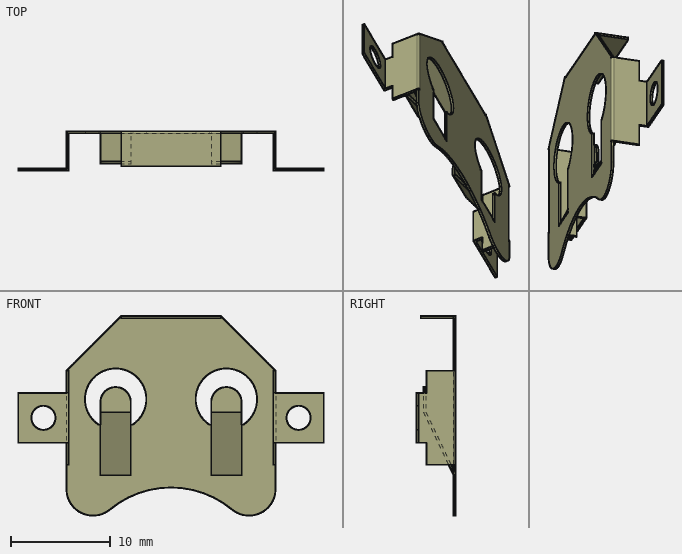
import cadquery as cq
import math

sheet = 0.23
overall_width = 30.73
overall_depth = 3.95
plate_height = 20.07
half_plate = 10.5

shoulder = 5.5
shoulder_z = plate_height - shoulder
lip_half = half_plate - shoulder
lobe_radius = 2.67
lobe_x = half_plate - lobe_radius
arch_top_z = 2.83

lip_depth = 3.53
wall_depth = 2.95
wall_height = 9.45
ear_size = 5.0
ear_hole_diameter = 2.4
ear_z = shoulder_z - wall_height / 2
ear_hole_x = 12.8

tongue_x = 5.55
tongue_width = 3.07
tongue_root_z = 4.1
tongue_bend_z = 10.42
tongue_tip_z = 12.95
tongue_depth = 3.25
opening_radius = 3.07
opening_z = 11.7
opening_floor_z = 9.15


def block(x_range, y_range, z_range):
    """Box spanning the given ranges."""
    spans = [high - low for low, high in (x_range, y_range, z_range)]
    corner = (x_range[0], y_range[0], z_range[0])
    return cq.Workplane("XY").box(*spans, centered=False).translate(corner)


def make_plate():
    rise = lobe_radius - arch_top_z
    arch_radius = (lobe_x**2 + rise**2 - lobe_radius**2) / (2 * (lobe_radius - rise))
    arch_center_z = arch_top_z - arch_radius
    share = arch_radius / (arch_radius + lobe_radius)
    join_x = lobe_x * share
    join_z = arch_center_z + (lobe_radius - arch_center_z) * share
    return (
        cq.Workplane("XZ")
        .moveTo(-lip_half, plate_height)
        .lineTo(lip_half, plate_height)
        .lineTo(half_plate, shoulder_z)
        .lineTo(half_plate, lobe_radius)
        .threePointArc((lobe_x, 0), (join_x, join_z))
        .threePointArc((0, arch_top_z), (-join_x, join_z))
        .threePointArc((-lobe_x, 0), (-half_plate, lobe_radius))
        .lineTo(-half_plate, shoulder_z)
        .close()
        .extrude(sheet)
    )


def bend_waste(length):
    """Material outside a rounded bend whose sharp corner is the Z axis."""
    corner_bar = block((-sheet, 0), (-sheet, 0), (0, length))
    round_bar = cq.Workplane("XY").center(-sheet, -sheet).circle(sheet).extrude(length)
    return corner_bar.cut(round_bar)


def make_lip():
    return block((-lip_half, lip_half), (-lip_depth, 0), (plate_height - sheet, plate_height))


def make_right_wall():
    """Side wall with its drilled mounting ear, on the +X side."""
    wall_x = (half_plate - sheet, half_plate)
    ear_z_range = (ear_z - ear_size / 2, ear_z + ear_size / 2)
    wall = block(wall_x, (-wall_depth, 0), (shoulder_z - wall_height, shoulder_z))
    neck = block(wall_x, (-overall_depth, -wall_depth), ear_z_range)
    ear = block(
        (half_plate - sheet, overall_width / 2),
        (-overall_depth, sheet - overall_depth),
        ear_z_range,
    )
    hole = (
        cq.Workplane("XZ", origin=(ear_hole_x, 0, ear_z))
        .circle(ear_hole_diameter / 2)
        .extrude(overall_depth)
    )
    return wall.union(neck).union(ear.cut(hole))


def make_opening(x):
    """Round opening with a flat floor, plus the slot left by the tongue."""
    circle = cq.Workplane("XZ", origin=(x, 0, opening_z)).circle(opening_radius).extrude(sheet)
    window = circle.intersect(
        block(
            (x - opening_radius, x + opening_radius),
            (-sheet, 0),
            (opening_floor_z, opening_z + opening_radius),
        )
    )
    slot = block(
        (x - tongue_width / 2, x + tongue_width / 2),
        (-sheet, 0),
        (tongue_root_z, opening_z),
    )
    return window.union(slot)


def make_tongue(x):
    """Sloped strip from the plate ending in an upright rounded pad."""
    slope = math.atan2(tongue_depth - sheet, tongue_bend_z - tongue_root_z)
    bend_shift = sheet * math.tan(slope / 2)
    front = -tongue_depth
    profile = (
        cq.Workplane("YZ", origin=(x - tongue_width / 2, 0, 0))
        .polyline([
            (-sheet, tongue_root_z),
            (front, tongue_bend_z),
            (front, tongue_tip_z),
            (front + sheet, tongue_tip_z),
            (front + sheet, tongue_bend_z + bend_shift),
            (0, tongue_root_z + bend_shift),
            (0, tongue_root_z),
        ])
        .close()
        .extrude(tongue_width)
    )
    tip_radius = tongue_width / 2
    pad_center_z = tongue_tip_z - tip_radius
    round_pad = (
        cq.Workplane("XZ", origin=(x, 0, pad_center_z))
        .circle(tip_radius)
        .extrude(tongue_depth)
    )
    below_round = block(
        (x - tip_radius, x + tip_radius), (-tongue_depth, 0), (tongue_root_z, pad_center_z)
    )
    return profile.intersect(round_pad.union(below_round))


right_wall = make_right_wall()
right_bend = bend_waste(wall_height).translate((half_plate, 0, shoulder_z - wall_height))
lip_bend = (
    bend_waste(2 * lip_half)
    .rotate((0, 0, 0), (0, 1, 0), -90)
    .translate((lip_half, 0, plate_height))
)

result = make_plate().union(make_lip()).union(right_wall).union(right_wall.mirror("YZ"))
result = result.cut(right_bend).cut(right_bend.mirror("YZ")).cut(lip_bend)
for side in (-1, 1):
    result = result.cut(make_opening(side * tongue_x))
    result = result.union(make_tongue(side * tongue_x))